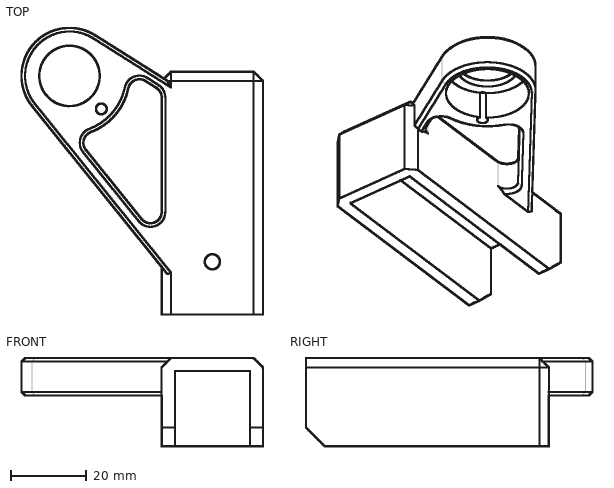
import cadquery as cq
import math

length = 76.2
width = 64.25
height = 23.5

channel_width = 27.0
channel_length = 64.55
wall = 3.5
edge_chamfer = 2.5
foot_chamfer = 5.0
screw_diameter = 4.0
screw_y = 14.0
channel_x = width - channel_width
channel_middle_x = width - channel_width / 2

arm_thickness = 10.0
arm_chamfer = 1.0
boss_radius = 12.8
boss_x = boss_radius
boss_y = length - boss_radius
bore_diameter = 16.0
bearing_diameter = 22.0
bearing_lip = 2.0
pin_diameter = 2.8
pin_x = 21.3
pin_y = 54.65
arm_root_low_y = 12.65
arm_root_high_y = 63.1
arm_bottom_z = height - arm_thickness

upper_bar_width = 3.2
lower_bar_width = 3.9
window_arc_radius = 16.0
window_fillet = 3.0


def edge_normal_angle(root_y, side):
    """Angle of the normal to the arm edge; side is +1 for the upper edge, -1 for the lower."""
    dx = channel_x - boss_x
    dy = root_y - boss_y
    return math.atan2(dy, dx) + side * math.acos(boss_radius / math.hypot(dx, dy))


def edge_point(angle, offset):
    """Foot of the perpendicular from the boss centre on a line at the given offset."""
    return (boss_x + offset * math.cos(angle), boss_y + offset * math.sin(angle))


def edge_y(angle, offset, x):
    """Height in Y of the line with this normal and offset, at a given X."""
    return boss_y + (offset - (x - boss_x) * math.cos(angle)) / math.sin(angle)


upper_angle = edge_normal_angle(arm_root_high_y, 1)
lower_angle = edge_normal_angle(arm_root_low_y, -1)


def make_channel():
    block = (
        cq.Workplane("XY")
        .box(channel_width, channel_length, height, centered=False)
        .translate((channel_x, 0, 0))
    )
    top_sides = block.edges("|Y and >Z")
    top_end = block.edges("|X and >Y and >Z")
    end_corners = block.edges("|Z and >Y")
    block = block.newObject(top_sides.vals() + top_end.vals() + end_corners.vals()).chamfer(edge_chamfer)
    block = block.edges("|X and <Y and <Z").chamfer(foot_chamfer)
    cavity = (
        cq.Workplane("XY")
        .box(channel_width - 2 * wall, channel_length - wall, height - wall, centered=False)
        .translate((channel_x + wall, 0, 0))
    )
    return block.cut(cavity)


def make_arm():
    end_x = channel_x + edge_chamfer
    arm = (
        cq.Workplane("XY", origin=(0, 0, arm_bottom_z))
        .moveTo(end_x, edge_y(lower_angle, boss_radius, end_x))
        .lineTo(end_x, edge_y(upper_angle, boss_radius, end_x))
        .lineTo(*edge_point(upper_angle, boss_radius))
        .threePointArc((0, boss_y), edge_point(lower_angle, boss_radius))
        .close()
        .extrude(arm_thickness)
    )
    return arm.faces("|Z").edges("not >X").chamfer(arm_chamfer)


def make_window():
    low_offset = boss_radius - lower_bar_width
    high_offset = boss_radius - upper_bar_width
    window = (
        cq.Workplane("XY", origin=(0, 0, arm_bottom_z))
        .moveTo(*edge_point(lower_angle, low_offset))
        .lineTo(channel_x, edge_y(lower_angle, low_offset, channel_x))
        .lineTo(channel_x, edge_y(upper_angle, high_offset, channel_x))
        .lineTo(*edge_point(upper_angle, high_offset))
        .close()
        .extrude(arm_thickness)
    )
    boss = cq.Workplane("XY").center(boss_x, boss_y).circle(window_arc_radius).extrude(height)
    return window.cut(boss).edges("|Z").fillet(window_fillet)


def make_flare(window, side):
    """Chamfer cutter around the window rim: side is ">Z" for the top rim, "<Z" for the bottom."""
    rim = window.faces(side).wires().val()
    flare_depth = arm_chamfer if side == "<Z" else -arm_chamfer
    inner_outline = rim.translate(cq.Vector(0, 0, flare_depth))
    return cq.Workplane("XY").add(inner_outline).toPending().extrude(-flare_depth, taper=-45)


def make_hole(x, y, diameter):
    return cq.Workplane("XY").center(x, y).circle(diameter / 2).extrude(height)


window = make_window()

arm = make_arm().cut(make_flare(window, "<Z"))
result = make_channel().union(arm).cut(window).cut(make_flare(window, ">Z"))

result = result.cut(make_hole(boss_x, boss_y, bore_diameter))
bearing_seat = make_hole(boss_x, boss_y, bearing_diameter).translate((0, 0, -bearing_lip))
result = result.cut(bearing_seat)

result = result.cut(make_hole(pin_x, pin_y, pin_diameter))
result = result.cut(make_hole(channel_middle_x, screw_y, screw_diameter))